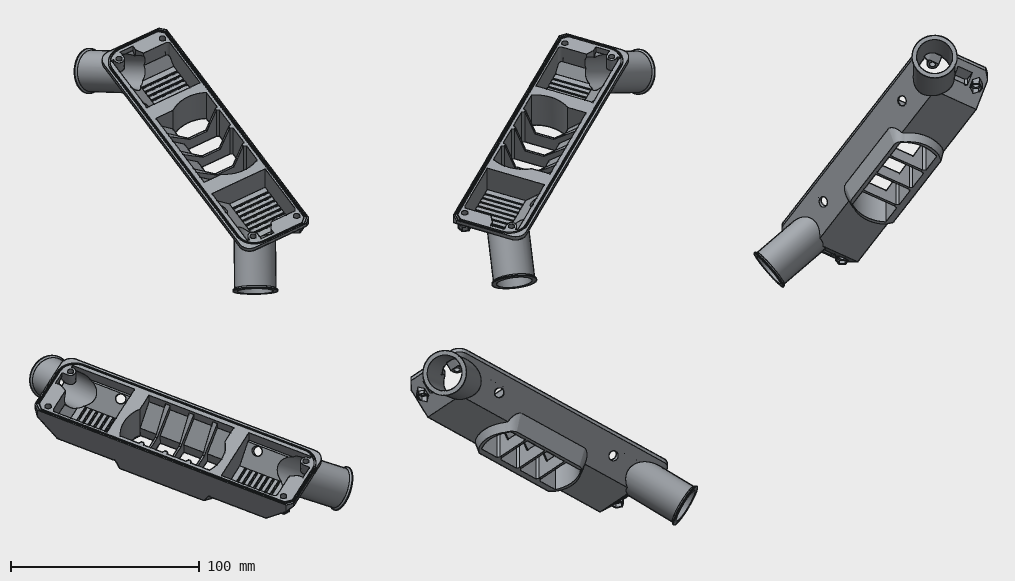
import cadquery as cq
import math

overall_length = 188.4
overall_width = 51.0
overall_height = 33.5

flange_length = 153.0
flange_width = 40.5
flange_edge = 2.5
back_corner = 3.0
front_corner = 6.0
corner_remnant = 0.4
tray_depth = 17.3
wall = 1.5
half_length = flange_length / 2

groove_width = 1.0
groove_depth = 1.0
groove_side = 0.8
groove_front = 1.5
groove_front_radius = 10.4

chamber_outer_x = 66.1
chamber_inner_x = 33.7
chamber_back = 3.0
chamber_front = 35.8
chamber_corner = 1.7
gutter_width = 1.1
inlet_outer_x = 73.1
inlet_back = 21.1
inlet_notch_x = 70.3
inlet_notch_back = 18.7

slit_count = 7
slit_pitch = 3.3
slit_first_x = 37.3
slit_width = 1.0
slit_depth = 0.8
slit_front = 24.9

screw_x = 69.5
rear_screw_y = -4.9
front_screw_y = -31.6
rear_screw_diameter = 3.4
front_screw_diameter = 3.2
hex_boss_flats = 6.2
nut_flats = 5.0
hex_boss_bottom = 10.7
nut_depth = 2.5
hex_turn = 30
front_boss_diameter = 5.7
front_boss_height = 7.5
front_boss_web_x = 70.5

end_slot_back = 9.6
end_slot_width = 8.7
end_slot_top = 5.3
end_slot_height = 5.0
end_slot_corner = 1.1

wire_hole_x = 40.9
wire_hole_z = -9.5
wire_hole_diameter = 5.3
wire_hole_direction = (0.4, 0.6, 0.7)
wire_hole_reach = 3.8

nozzle_depth = 22.5
nozzle_taper = 20.0
nozzle_height = 14.1
nozzle_flat_x = 22.5
nozzle_front = 27.1
nozzle_corner_x = 25.2
nozzle_corner = 25.6
mouth_back = 3.5
mouth_back_x = 26.4
mouth_mid_x = 28.8
mouth_mid = 13.2
mouth_front_x = 25.0
mouth_front = 24.9
mouth_top_front = 35.5
mouth_bottom_front = 25.0

vane_spacing = 14.0
vane_thickness = 1.1
vane_root_width = 2.8
vane_root_length = 1.5
vane_rear_foot = 11.0
vane_front_foot = 21.7
vane_low_z = -14.3
vane_front_z = -1.9
vane_front_flare = 23.0

spigot_yaw = math.radians(30)
spigot_pitch = math.radians(30)
spigot_diameter = 22.0
bore_diameter = 19.0
lip_diameter = 24.0
lip_edge = 0.5
lip_taper = 45.0
spigot_length = 41.5
bore_length = 47.1


def block(x0, x1, y0, y1, z0, z1):
    return cq.Workplane("XY").box(x1 - x0, y1 - y0, z1 - z0, centered=False).translate((x0, y0, z0))


def both_sides(left):
    return left.union(left.mirror("YZ"))


def rim_prism(side, front, radius, corner, depth):
    """Plate shaped like the flange, inset from its edges, reaching down from the top."""
    plate = block(-half_length + side, half_length - side, -flange_width + front, -side, -depth, 0)
    plate = plate.edges("|Z and <Y").fillet(radius)
    return plate.edges("|Z and >Y").chamfer(corner)


def sloped_tray(inset, bottom):
    """Tray space with 45 degree front and end walls, moved inward by the given wall thickness."""
    shift = inset * math.sqrt(2)
    front = flange_width - shift
    end = half_length - shift
    run = bottom - flange_edge
    side_profile = [(0, 0), (-front, 0), (-front, -flange_edge), (-front + run, -bottom), (0, -bottom)]
    long_profile = [(-end, 0), (-end, -flange_edge), (-end + run, -bottom),
                    (end - run, -bottom), (end, -flange_edge), (end, 0)]
    across = cq.Workplane("YZ").polyline(side_profile).close().extrude(half_length, both=True)
    along = cq.Workplane("XZ").polyline(long_profile).close().extrude(flange_width)
    return across.intersect(along)


def rounded_slope():
    """Space whose front corners stay round where the walls below the flange slope inward."""
    round_depth = front_corner - corner_remnant
    outline = block(-half_length, half_length, -flange_width, flange_width, -flange_edge, 0)
    upper = outline.edges("|Z and <Y").fillet(front_corner)
    sloping = upper.faces("<Z").wires().toPending().workplane().extrude(round_depth, taper=45, combine=False)
    lower = block(-half_length, half_length, -flange_width, flange_width,
                  -tray_depth, -flange_edge - round_depth)
    return upper.union(sloping).union(lower)


def nozzle_outer():
    half = mouth_back_x + wall
    side_front_x = mouth_front_x + wall
    side_front = mouth_front - wall
    outline = (
        cq.Workplane("XY").workplane(offset=-nozzle_depth)
        .moveTo(-half + back_corner, 0)
        .lineTo(-half, -back_corner)
        .threePointArc((-mouth_mid_x - wall, -mouth_mid), (-side_front_x, -side_front))
        .threePointArc((-nozzle_corner_x, -nozzle_corner), (-nozzle_flat_x, -nozzle_front))
        .lineTo(nozzle_flat_x, -nozzle_front)
        .threePointArc((nozzle_corner_x, -nozzle_corner), (side_front_x, -side_front))
        .threePointArc((mouth_mid_x + wall, -mouth_mid), (half, -back_corner))
        .lineTo(half - back_corner, 0)
        .close()
    )
    flared = outline.extrude(nozzle_height, taper=-nozzle_taper)
    return flared.intersect(block(-half_length, half_length, -flange_width, 0, -nozzle_depth, 0))


def inner_slope_z(y):
    """Height of the inner face of the front wall."""
    return -flange_edge - (flange_width - wall * math.sqrt(2) + y)


def mouth():
    """Air passage: straight through at the rear, running down the sloped wall at the front."""
    through = (
        cq.Workplane("XY").moveTo(-mouth_back_x, -mouth_back)
        .threePointArc((-mouth_mid_x, -mouth_mid), (-mouth_front_x, -mouth_front))
        .lineTo(mouth_front_x, -mouth_front)
        .threePointArc((mouth_mid_x, -mouth_mid), (mouth_back_x, -mouth_back))
        .close().extrude(-nozzle_depth)
    )
    ramp = (
        cq.Workplane("YZ").moveTo(-mouth_mid, 0)
        .lineTo(-mouth_top_front, 0)
        .lineTo(-mouth_top_front, inner_slope_z(-mouth_top_front))
        .lineTo(-mouth_front, inner_slope_z(-mouth_front))
        .lineTo(-mouth_bottom_front, -nozzle_depth)
        .lineTo(-mouth_mid, -nozzle_depth)
        .close().extrude(mouth_front_x, both=True)
    )
    return through.union(ramp)


def vane(x):
    """Thin blade with widened roots and a sagging top edge."""
    rear_root = mouth_back + vane_root_length
    profile = (
        cq.Workplane("YZ", origin=(x, 0, 0))
        .polyline([(-mouth_back, 0), (-rear_root, 0), (-vane_rear_foot, vane_low_z),
                   (-vane_front_foot, vane_low_z), (-mouth_top_front, vane_front_z),
                   (-mouth_top_front, -nozzle_depth), (-mouth_back, -nozzle_depth)])
        .close().extrude(vane_root_width, both=True)
    )
    thin = vane_thickness / 2
    wide = vane_root_width / 2
    right_edge = [(wide, -mouth_back), (thin, -rear_root), (thin, -vane_front_flare), (wide, -mouth_top_front)]
    left_edge = [(-across, along) for across, along in reversed(right_edge)]
    plan = (
        cq.Workplane("XY").center(x, 0).polyline(right_edge + left_edge).close()
        .extrude(-nozzle_depth)
    )
    return profile.intersect(plan)


def chamber(inner_tray):
    pocket = block(-chamber_outer_x, -chamber_inner_x, -chamber_front, -chamber_back, -tray_depth, 0)
    pocket = pocket.edges("|Z and <X and >Y").fillet(chamber_corner)
    inlet = (
        cq.Workplane("XY")
        .polyline([(-chamber_outer_x, -inlet_notch_back), (-inlet_notch_x, -inlet_back),
                   (-inlet_outer_x, -inlet_back), (-inlet_outer_x, -chamber_front),
                   (-chamber_outer_x, -chamber_front)])
        .close().extrude(-tray_depth)
    )
    gutter_back = chamber_front - gutter_width
    gutter = block(-chamber_outer_x, -chamber_inner_x, -chamber_front, -gutter_back,
                   inner_slope_z(-gutter_back), 0)
    return pocket.union(inlet).intersect(inner_tray).union(gutter)


def floor_slits():
    floor = -tray_depth + wall
    slits = cq.Workplane("XY")
    for i in range(slit_count):
        x = -slit_first_x - i * slit_pitch
        slits = slits.union(block(x - slit_width / 2, x + slit_width / 2, -slit_front, -chamber_back,
                                  floor - slit_depth, floor))
    return slits


spigot_axis = (
    math.cos(spigot_pitch) * math.cos(spigot_yaw),
    math.cos(spigot_pitch) * math.sin(spigot_yaw),
    math.sin(spigot_pitch),
)


def lip_reach(axis_part):
    """Half the extent of the tilted lip circle along one main direction."""
    return lip_diameter / 2 * math.sqrt(1 - axis_part ** 2)


spigot_plane = cq.Plane(
    origin=(
        lip_reach(spigot_axis[0]) - overall_length / 2,
        lip_reach(spigot_axis[1]) - overall_width,
        lip_reach(spigot_axis[2]) - overall_height,
    ),
    normal=spigot_axis,
)


def spigot_cylinder(diameter, length):
    return cq.Workplane(spigot_plane).circle(diameter / 2).extrude(length)


def spigot():
    tube = spigot_cylinder(spigot_diameter, spigot_length)
    edge = spigot_cylinder(lip_diameter, lip_edge)
    taper_length = (lip_diameter - spigot_diameter) / 2 / math.tan(math.radians(lip_taper))
    taper = (
        cq.Workplane(spigot_plane).workplane(offset=lip_edge).circle(lip_diameter / 2)
        .extrude(taper_length, taper=lip_taper)
    )
    below_top = block(-overall_length, 0, -overall_width, 0, -overall_height, 0)
    return tube.union(edge).union(taper).intersect(below_top)


def front_boss():
    r = front_boss_diameter / 2
    post = cq.Workplane("XY").center(-screw_x, front_screw_y).circle(r).extrude(-front_boss_height)
    web = block(-inlet_outer_x - wall, -screw_x, front_screw_y - r, front_screw_y + r, -front_boss_height, 0)
    corner = block(-inlet_outer_x - wall, -front_boss_web_x, -chamber_front - wall, front_screw_y,
                   -front_boss_height, 0)
    return post.union(web).union(corner)


def hexagon(flats, z_top, height):
    return (
        cq.Workplane("XY", origin=(-screw_x, rear_screw_y, z_top))
        .transformed(rotate=(0, 0, hex_turn))
        .polygon(6, flats, circumscribed=True).extrude(-height)
    )


def screw_hole(y, diameter, depth):
    return cq.Workplane("XY").center(-screw_x, y).circle(diameter / 2).extrude(-depth)


def end_slot():
    slot = block(-half_length, -chamber_outer_x - wall, -end_slot_back - end_slot_width, -end_slot_back,
                 -end_slot_top - end_slot_height, -end_slot_top)
    return slot.edges("|Z and >X").chamfer(end_slot_corner)


def wire_hole():
    start = (-wire_hole_x, -flange_width - flange_edge - wire_hole_z, wire_hole_z)
    plane = cq.Plane(origin=start, normal=wire_hole_direction)
    return cq.Workplane(plane).circle(wire_hole_diameter / 2).extrude(wire_hole_reach, both=True)


rim = rim_prism(0, 0, front_corner, back_corner, tray_depth)
outer_tray = sloped_tray(0, tray_depth).intersect(rim).intersect(rounded_slope())
inner_tray = sloped_tray(wall, tray_depth - wall)
passage = mouth()
shell = outer_tray.union(nozzle_outer())
shell = shell.union(both_sides(spigot()))
shell = shell.union(both_sides(hexagon(hex_boss_flats, 0, hex_boss_bottom)))

shell = shell.cut(passage)
shell = shell.cut(both_sides(chamber(inner_tray)))
shell = shell.cut(both_sides(floor_slits()))
shell = shell.cut(both_sides(spigot_cylinder(bore_diameter, bore_length)))

for x in (-vane_spacing, 0, vane_spacing):
    shell = shell.union(vane(x).intersect(passage))
shell = shell.union(both_sides(front_boss().intersect(outer_tray)))

shell = shell.cut(both_sides(screw_hole(rear_screw_y, rear_screw_diameter, tray_depth)))
shell = shell.cut(both_sides(screw_hole(front_screw_y, front_screw_diameter, front_boss_height)))
shell = shell.cut(both_sides(hexagon(nut_flats, -hex_boss_bottom + nut_depth, tray_depth)))
shell = shell.cut(both_sides(end_slot()))
shell = shell.cut(both_sides(wire_hole()))
groove_outer = rim_prism(groove_side, groove_front, groove_front_radius, back_corner, groove_depth)
groove_inner = rim_prism(groove_side + groove_width, groove_front + groove_width,
                         groove_front_radius - groove_width, back_corner, groove_depth)
result = shell.cut(groove_outer.cut(groove_inner))